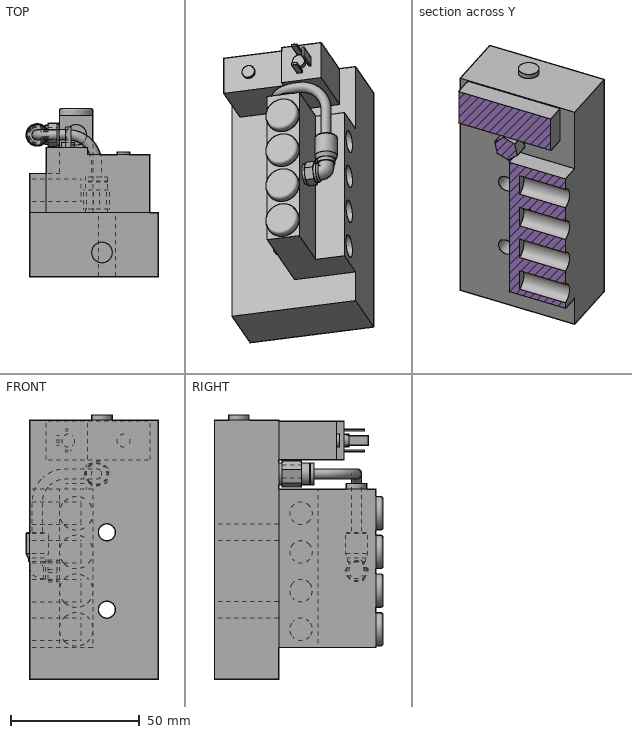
import cadquery as cq
import math


BASE_X, BASE_Y, BASE_Z = 50.0, 25.0, 100.5
BOLT_HOLE_D = 6.5
BOLT_HOLE_X = 30.0
BOLT_HOLE_ZS = (27.0, 57.0)
PLUG_D, PLUG_HEIGHT = 8.0, 2.0
PLUG_X, PLUG_Y = 28.1, 9.5

STATION_COUNT = 4
STATION_PITCH = 15.0
FIRST_STATION_Z = 19.4
BLOCK_Z0, BLOCK_Z1 = 12.3, 73.8
MANIFOLD_BACK_Y = 40.2
VALVE_X0, VALVE_WIDTH = 11.6, 13.0
VALVE_X1 = VALVE_X0 + VALVE_WIDTH
VALVE_BACK_Y = 62.6
PORT_D, PORT_DEPTH, PORT_Y = 8.7, 20.0, 33.6
KNOB_D = VALVE_WIDTH
KNOB_LENGTH = 2.8
KNOB_FILLET = 1.0
VALVE_CAP_D, VALVE_CAP_HEIGHT = 8.0, 2.2

COIL_X0, COIL_X1 = 6.4, 46.7
COIL_STEP_X = 22.4
COIL_Z0, COIL_Z1 = 85.05, 100.15
COIL_Z = (COIL_Z0 + COIL_Z1) / 2
COIL_LOW_Y, COIL_HIGH_Y = 47.4, 50.3
TERMINAL_X = 15.0
TERMINAL_BOSS_D, TERMINAL_BOSS_Y = 5.0, 52.1
BLADE_WIDTH, BLADE_THICKNESS = 2.2, 0.8
BLADE_Y, BLADE_OFFSET_Z = 58.2, 4.0
EARTH_X, EARTH_WIDTH, EARTH_Y = 11.0, 3.8, 59.7
COIL_SCREW_X, COIL_SCREW_D, COIL_SCREW_HEIGHT = 36.45, 5.0, 1.1

TUBE_D = 4.0
TUBE_BEND_R = 11.0
TUBE_Y, TUBE_Z = 55.1, 79.65
BEND_GAP = 1.0
ELBOW_X, ELBOW_Z = 3.0, 42.0
DROP_X = ELBOW_X + 2 * TUBE_BEND_R + BEND_GAP

FITTING_D = 8.6
FITTING_SPIGOT_Y = 26.3
FITTING_HEX_Y = 33.7
FITTING_GROOVE_Y0, FITTING_GROOVE_Y1 = 36.8, 37.2
FITTING_GROOVE_D = 8.0
FITTING_END_Y = 38.7
FITTING_HEX_FLATS, FITTING_HEX_TURN = 9.1, 18.0

ELBOW_D = 6.0
ELBOW_BEND_R = 1.8
NECK_D, NECK_Z = 6.9, 45.6
SLEEVE_D, SLEEVE_TIP_D = 8.7, 7.2
SLEEVE_TIP_Z, SLEEVE_CONE_Z, SLEEVE_TOP_Z = 47.1, 48.8, 56.9
SLEEVE_CHAMFER = 0.4
COLLAR_D, COLLAR_X0, COLLAR_CONE_X = 7.5, 5.4, 6.2
ELBOW_HEX_X, ELBOW_SPIGOT_X = 7.2, 10.6
ELBOW_SPIGOT_D = 8.0
ELBOW_HEX_FLATS, ELBOW_HEX_TURN = 8.0, 7.0


def box(x0, x1, y0, y1, z0, z1):
    return cq.Workplane("XY").box(x1 - x0, y1 - y0, z1 - z0, centered=False).translate((x0, y0, z0))


def cylinder(diameter, start, direction, length):
    solid = cq.Solid.makeCylinder(diameter / 2, length, cq.Vector(*start), cq.Vector(*direction))
    return cq.Workplane("XY").add(solid)


def cylinder_y(diameter, x, z, y0, y1):
    return cylinder(diameter, (x, y0, z), (0, 1, 0), y1 - y0)


def hexagon(plane, flats, turn, length):
    """Hexagonal prism along the plane normal, turned in degrees about that normal."""
    corners = flats / math.cos(math.pi / 6)
    return cq.Workplane(plane.rotated((0, 0, turn))).polygon(6, corners).extrude(length)


def station_heights():
    return [FIRST_STATION_Z + i * STATION_PITCH for i in range(STATION_COUNT)]


def make_base():
    base = box(0, BASE_X, 0, BASE_Y, 0, BASE_Z)
    for z in BOLT_HOLE_ZS:
        base = base.cut(cylinder_y(BOLT_HOLE_D, BOLT_HOLE_X, z, 0, BASE_Y))
    return base.union(cylinder(PLUG_D, (PLUG_X, PLUG_Y, BASE_Z), (0, 0, 1), PLUG_HEIGHT))


def make_manifold():
    manifold = box(0, VALVE_X1, BASE_Y, MANIFOLD_BACK_Y, BLOCK_Z0, BLOCK_Z1)
    for z in station_heights():
        manifold = manifold.cut(cylinder(PORT_D, (0, PORT_Y, z), (1, 0, 0), PORT_DEPTH))
    return manifold


def make_valves():
    valve_x = (VALVE_X0 + VALVE_X1) / 2
    valves = box(VALVE_X0, VALVE_X1, MANIFOLD_BACK_Y, VALVE_BACK_Y, BLOCK_Z0, BLOCK_Z1)
    for z in station_heights():
        knob = cylinder_y(KNOB_D, valve_x, z, VALVE_BACK_Y, VALVE_BACK_Y + KNOB_LENGTH)
        valves = valves.union(knob.faces(">Y").edges().fillet(KNOB_FILLET))
    cap = cylinder(VALVE_CAP_D, (valve_x, TUBE_Y, BLOCK_Z1), (0, 0, 1), VALVE_CAP_HEIGHT)
    return valves.union(cap)


def make_coil():
    coil = box(COIL_X0, COIL_X1, BASE_Y, COIL_LOW_Y, COIL_Z0, COIL_Z1)
    coil = coil.union(box(COIL_X0, COIL_STEP_X, BASE_Y, COIL_HIGH_Y, COIL_Z0, COIL_Z1))
    coil = coil.union(cylinder_y(TERMINAL_BOSS_D, TERMINAL_X, COIL_Z, COIL_HIGH_Y, TERMINAL_BOSS_Y))
    for side in (-1, 1):
        z = COIL_Z + side * BLADE_OFFSET_Z
        coil = coil.union(box(
            TERMINAL_X - BLADE_WIDTH / 2, TERMINAL_X + BLADE_WIDTH / 2,
            COIL_HIGH_Y, BLADE_Y,
            z - BLADE_THICKNESS / 2, z + BLADE_THICKNESS / 2,
        ))
    coil = coil.union(box(
        EARTH_X - BLADE_THICKNESS / 2, EARTH_X + BLADE_THICKNESS / 2,
        COIL_HIGH_Y, EARTH_Y,
        COIL_Z - EARTH_WIDTH / 2, COIL_Z + EARTH_WIDTH / 2,
    ))
    screw_end_y = COIL_LOW_Y + COIL_SCREW_HEIGHT
    return coil.union(cylinder_y(COIL_SCREW_D, COIL_SCREW_X, COIL_Z, COIL_LOW_Y, screw_end_y))


def make_tube():
    r = TUBE_BEND_R
    mid = r * math.sqrt(0.5)
    bend1 = cq.Vector(ELBOW_X + r, TUBE_Y, TUBE_Z - r)
    bend2 = cq.Vector(DROP_X - r, TUBE_Y - r, TUBE_Z)
    riser_start = cq.Vector(ELBOW_X, TUBE_Y, SLEEVE_TIP_Z)
    run_start = bend1 + cq.Vector(0, 0, r)
    run_end = bend2 + cq.Vector(0, r, 0)
    drop_start = bend2 + cq.Vector(r, 0, 0)
    path = cq.Wire.assembleEdges([
        cq.Edge.makeLine(riser_start, bend1 - cq.Vector(r, 0, 0)),
        cq.Edge.makeThreePointArc(
            bend1 - cq.Vector(r, 0, 0), bend1 + cq.Vector(-mid, 0, mid), run_start),
        cq.Edge.makeLine(run_start, run_end),
        cq.Edge.makeThreePointArc(run_end, bend2 + cq.Vector(mid, mid, 0), drop_start),
        cq.Edge.makeLine(drop_start, cq.Vector(DROP_X, FITTING_HEX_Y, TUBE_Z)),
    ])
    profile = cq.Workplane("XY", origin=riser_start.toTuple()).circle(TUBE_D / 2)
    return profile.sweep(cq.Workplane("XY").add(path))


def make_base_fitting():
    body = cylinder_y(FITTING_D, DROP_X, TUBE_Z, BASE_Y, FITTING_GROOVE_Y0)
    groove = cylinder_y(FITTING_GROOVE_D, DROP_X, TUBE_Z, FITTING_GROOVE_Y0, FITTING_GROOVE_Y1)
    end_ring = cylinder_y(FITTING_D, DROP_X, TUBE_Z, FITTING_GROOVE_Y1, FITTING_END_Y)
    plane = cq.Plane(origin=(DROP_X, FITTING_HEX_Y, TUBE_Z), xDir=(1, 0, 0), normal=(0, -1, 0))
    nut = hexagon(plane, FITTING_HEX_FLATS, FITTING_HEX_TURN, FITTING_HEX_Y - FITTING_SPIGOT_Y)
    return body.union(groove).union(end_ring).union(nut)


def make_elbow_bend(bend_x, bend_z):
    """Tight quarter bend: the round section, cut off at the bend axis, turned about that axis."""
    radius = ELBOW_D / 2
    half_chord = math.sqrt(radius**2 - ELBOW_BEND_R**2)
    return (
        cq.Workplane("XY", origin=(bend_x, TUBE_Y, bend_z))
        .moveTo(0, -half_chord)
        .threePointArc((-ELBOW_BEND_R - radius, 0), (0, half_chord))
        .close()
        .revolve(90, (0, 0), (0, -1))
    )


def make_elbow_fitting():
    bend_x = ELBOW_X + ELBOW_BEND_R
    bend_z = ELBOW_Z + ELBOW_BEND_R
    elbow = make_elbow_bend(bend_x, bend_z)
    elbow = elbow.union(cylinder(ELBOW_D, (ELBOW_X, TUBE_Y, bend_z), (0, 0, 1), SLEEVE_TIP_Z - bend_z))
    elbow = elbow.union(cylinder(ELBOW_D, (bend_x, TUBE_Y, ELBOW_Z), (1, 0, 0), ELBOW_HEX_X - bend_x))
    elbow = elbow.union(cylinder(NECK_D, (ELBOW_X, TUBE_Y, NECK_Z), (0, 0, 1), SLEEVE_TIP_Z - NECK_Z))
    sleeve = (
        cq.Workplane("XZ")
        .moveTo(0, SLEEVE_TIP_Z)
        .lineTo(SLEEVE_TIP_D / 2, SLEEVE_TIP_Z)
        .lineTo(SLEEVE_D / 2, SLEEVE_CONE_Z)
        .lineTo(SLEEVE_D / 2, SLEEVE_TOP_Z - SLEEVE_CHAMFER)
        .lineTo(SLEEVE_D / 2 - SLEEVE_CHAMFER, SLEEVE_TOP_Z)
        .lineTo(0, SLEEVE_TOP_Z)
        .close()
        .revolve(360, (0, 0), (0, 1))
        .translate((ELBOW_X, TUBE_Y, 0))
    )
    collar = (
        cq.Workplane("XY")
        .moveTo(COLLAR_X0, 0)
        .lineTo(COLLAR_X0, ELBOW_D / 2)
        .lineTo(COLLAR_CONE_X, COLLAR_D / 2)
        .lineTo(ELBOW_HEX_X, COLLAR_D / 2)
        .lineTo(ELBOW_HEX_X, 0)
        .close()
        .revolve(360, (0, 0), (1, 0))
        .translate((0, TUBE_Y, ELBOW_Z))
    )
    plane = cq.Plane(origin=(ELBOW_HEX_X, TUBE_Y, ELBOW_Z), xDir=(0, 1, 0), normal=(1, 0, 0))
    nut = hexagon(plane, ELBOW_HEX_FLATS, ELBOW_HEX_TURN, ELBOW_SPIGOT_X - ELBOW_HEX_X)
    spigot_start = (ELBOW_SPIGOT_X, TUBE_Y, ELBOW_Z)
    spigot = cylinder(ELBOW_SPIGOT_D, spigot_start, (1, 0, 0), VALVE_X0 - ELBOW_SPIGOT_X)
    return elbow.union(sleeve).union(collar).union(nut).union(spigot)


result = make_base()
for piece in (
    make_manifold(),
    make_valves(),
    make_coil(),
    make_base_fitting(),
    make_elbow_fitting(),
    make_tube(),
):
    result = result.union(piece)